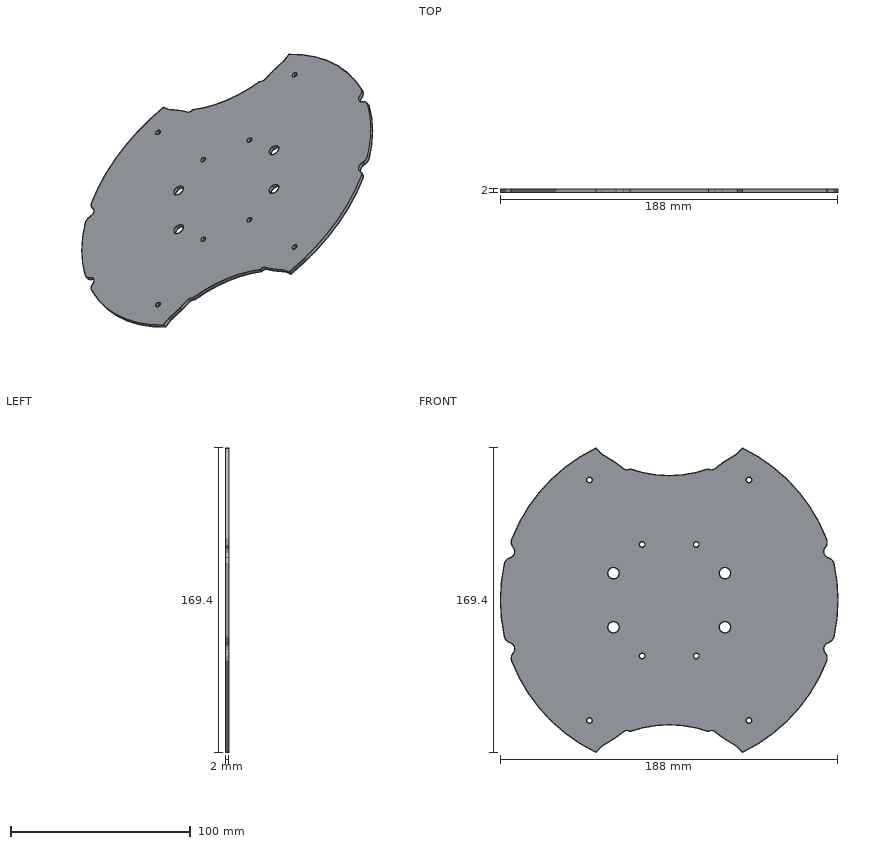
import cadquery as cq
import math

plate_radius = 94.0
thickness = 2.0
tip_z = 84.72
tip_x = math.sqrt(plate_radius**2 - tip_z**2)

bow_half_width = 21.8
bow_end_z = 73.2
bow_middle_z = 69.4
step_top_x = 29.7
step_top_z = 76.5
step_bottom_x = 25.5
step_bottom_z = 73.3
dip_x = 23.9
dip_z = 72.5
shoulder_x = 37.6
shoulder_z = 81.5

notch_radius = 3.5
notch_center_radius = 93.6
notch_angle = 16.8
notch_lip_radius = 4.7

small_hole = 3.0
large_hole = 6.2
outer_hole_x = 44.4
outer_hole_z = 67.0
inner_near = 15.0
inner_far = 31.0


def mirrored_points(x, z):
    """Four points placed symmetrically about both axes."""
    return [(sx * x, sz * z) for sx in (-1, 1) for sz in (-1, 1)]


def on_plate_plane():
    """Workplane at the middle of the plate, with local Y along Z."""
    return cq.Workplane("XZ")


def extrude_both_ways(sketch):
    return sketch.extrude(thickness / 2, both=True)


def blank():
    """Disc sides joined by the scalloped top and bottom edges."""
    right_edge = [
        (bow_half_width, bow_end_z),
        (step_bottom_x, step_bottom_z),
        (step_top_x, step_top_z),
        (shoulder_x, shoulder_z),
        (tip_x, tip_z),
    ]

    def scallop(sketch, side):
        """Edge from one tip to the other, starting at the tip on -side."""
        points = [(side * x, side * z) for x, z in right_edge]
        opposite = [(-x, z) for x, z in points]
        sketch = sketch.lineTo(*opposite[3]).lineTo(*opposite[2]).lineTo(*opposite[1])
        sketch = sketch.threePointArc((-side * dip_x, side * dip_z), opposite[0])
        sketch = sketch.threePointArc((0, side * bow_middle_z), points[0])
        sketch = sketch.threePointArc((side * dip_x, side * dip_z), points[1])
        return sketch.lineTo(*points[2]).lineTo(*points[3]).lineTo(*points[4])

    outline = scallop(on_plate_plane().moveTo(-tip_x, tip_z), 1)
    outline = outline.threePointArc((plate_radius, 0), (tip_x, -tip_z))
    outline = scallop(outline, -1)
    outline = outline.threePointArc((-plate_radius, 0), (-tip_x, tip_z))
    return extrude_both_ways(outline.close())


def cut_notches(plate):
    """Cut four round rim notches and round their lips."""
    angle = math.radians(notch_angle)
    center_x = notch_center_radius * math.cos(angle)
    center_z = notch_center_radius * math.sin(angle)
    centers = mirrored_points(center_x, center_z)
    cutters = extrude_both_ways(on_plate_plane().pushPoints(centers).circle(notch_radius))
    plate = plate.cut(cutters)

    cosine = (plate_radius**2 + notch_center_radius**2 - notch_radius**2) / (
        2 * plate_radius * notch_center_radius
    )
    half_opening = math.acos(cosine)
    for lip_angle in (angle - half_opening, angle + half_opening):
        lip_x = plate_radius * math.cos(lip_angle)
        lip_z = plate_radius * math.sin(lip_angle)
        for x, z in mirrored_points(lip_x, lip_z):
            lip = plate.edges("|Y").edges(cq.NearestToPointSelector((x, 0, z)))
            plate = lip.fillet(notch_lip_radius)
    return plate


def cut_holes(plate, centers, diameter):
    holes = extrude_both_ways(on_plate_plane().pushPoints(centers).circle(diameter / 2))
    return plate.cut(holes)


result = cut_notches(blank())
result = cut_holes(result, mirrored_points(outer_hole_x, outer_hole_z), small_hole)
result = cut_holes(result, mirrored_points(inner_near, inner_far), small_hole)
result = cut_holes(result, mirrored_points(inner_far, inner_near), large_hole)